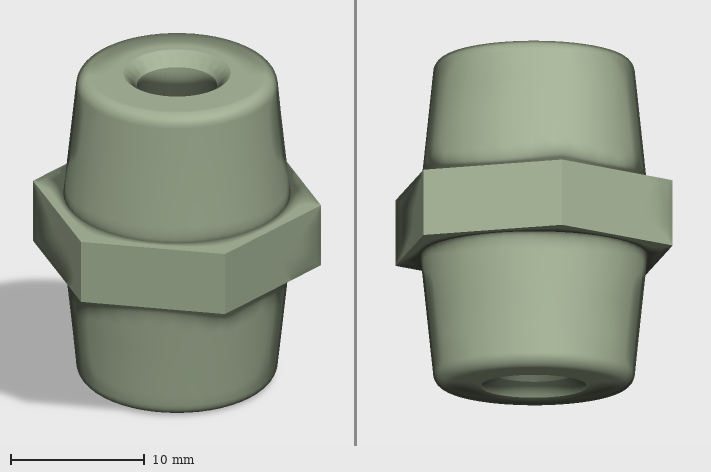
import cadquery as cq
import math

height = 25.0
hex_across_flats = 19.0
hex_height = 5.0

collar_face_diameter = 17.0
wall_taper_angle = 6.0
edge_radius = 1.0

hole_diameter = 6.0
hole_mouth_diameter = 8.0
hole_depth = 8.0
floor_cone_angle = 118.0


def make_barrel():
    """Two tapered halves meeting inside the collar, with rounded end rims."""
    collar_face_radius = collar_face_diameter / 2
    half_height = height / 2
    half_hex = hex_height / 2
    narrowing = (half_height - half_hex) * math.tan(math.radians(wall_taper_angle))
    end_radius = collar_face_radius - narrowing
    return (
        cq.Workplane("XZ")
        .moveTo(0, -half_height)
        .lineTo(end_radius, -half_height)
        .lineTo(collar_face_radius, -half_hex)
        .lineTo(collar_face_radius, half_hex)
        .lineTo(end_radius, half_height)
        .lineTo(0, half_height)
        .close()
        .revolve(360, (0, 0, 0), (0, 1, 0))
        .faces("<Z or >Z")
        .edges()
        .fillet(edge_radius)
    )


def make_hexagon():
    """Hexagonal collar with two flats facing X and corners along Y."""
    across_corners = hex_across_flats / math.cos(math.pi / 6)
    return (
        cq.Workplane("XY")
        .workplane(offset=-hex_height / 2)
        .transformed(rotate=(0, 0, 90))
        .polygon(6, across_corners)
        .extrude(hex_height)
    )


def make_top_hole():
    """Countersunk blind hole whose floor rises to a central point, opening at the top."""
    hole_radius = hole_diameter / 2
    mouth_radius = hole_mouth_diameter / 2
    top = height / 2
    floor = top - hole_depth
    cone_height = hole_radius / math.tan(math.radians(floor_cone_angle / 2))
    return (
        cq.Workplane("XZ")
        .moveTo(0, top)
        .lineTo(mouth_radius, top)
        .lineTo(hole_radius, top - (mouth_radius - hole_radius))
        .lineTo(hole_radius, floor)
        .lineTo(0, floor + cone_height)
        .close()
        .revolve(360, (0, 0, 0), (0, 1, 0))
    )


top_hole = make_top_hole()
bottom_hole = top_hole.mirror("XY")
body = make_barrel().union(make_hexagon())
result = body.cut(top_hole).cut(bottom_hole)